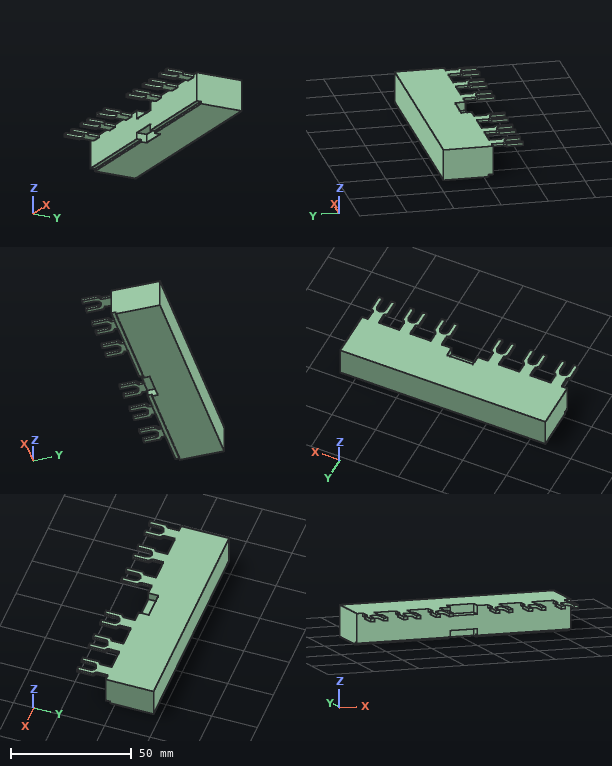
import cadquery as cq

length = 94.2
total_depth = 34.2
height = 13.5
body_depth = 21.1

step_depth = 2.0
step_height = 0.9

notch_width = 11.9
notch_depth = 4.5
notch_height = 3.7

fork_length = total_depth - body_depth
fork_thickness = 1.2
fork_width = 7.5
stem_width = 5.0
stem_length = 5.0
shoulder_length = 0.9
slot_width = 4.0
slot_top = 5.9
fork_pitch = 14.4
outer_fork_x = 41.9
forks_per_side = 3


def front_edge_cut(width, depth, cut_height, bottom_z):
    """Box that reaches back into the housing from its front face."""
    return (
        cq.Workplane("XY")
        .box(width, depth, cut_height, centered=(True, False, False))
        .translate((0, 0, bottom_z))
    )


def housing():
    body = front_edge_cut(length, body_depth, height, -height)
    body = body.cut(front_edge_cut(length, step_depth, step_height, -height))
    for bottom_z in (-notch_height, -height):
        body = body.cut(front_edge_cut(notch_width, notch_depth, notch_height, bottom_z))
    return body


def fork(center_x):
    """Flat terminal with sloped shoulders and a round-ended open slot."""
    half_stem = stem_width / 2
    half_fork = fork_width / 2
    slot_radius = slot_width / 2
    shoulder_y = -(stem_length + shoulder_length)
    arc_start_y = -(slot_top + slot_radius)
    return (
        cq.Workplane("XY")
        .moveTo(-half_stem, 0)
        .lineTo(-half_stem, -stem_length)
        .lineTo(-half_fork, shoulder_y)
        .lineTo(-half_fork, -fork_length)
        .lineTo(-slot_radius, -fork_length)
        .lineTo(-slot_radius, arc_start_y)
        .threePointArc((0, -slot_top), (slot_radius, arc_start_y))
        .lineTo(slot_radius, -fork_length)
        .lineTo(half_fork, -fork_length)
        .lineTo(half_fork, shoulder_y)
        .lineTo(half_stem, -stem_length)
        .lineTo(half_stem, 0)
        .close()
        .extrude(-fork_thickness)
        .translate((center_x, 0, 0))
    )


result = housing()
for side in (-1, 1):
    for index in range(forks_per_side):
        result = result.union(fork(side * (outer_fork_x - index * fork_pitch)))